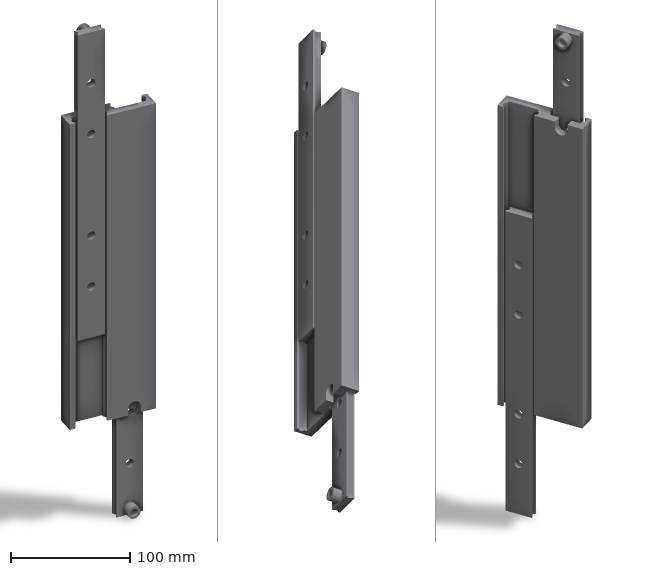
import cadquery as cq

thickness = 17.0
width = 80.0
length = 299.5
total_height = 489.0

bar_width = 25.0
bar_thickness = 8.0
lower_extension = 103.5
upper_extension = total_height - length - lower_extension

channel_width = 29.5
channel_depth = 10.0
channel_offset = width / 4

race_radius = 3.0
race_inset = 4.5
race_spacing = (bar_width + channel_width) / 2

hole_diameter = 8.0
hole_pitch = 50.0
hole_steps = (-2, -1, 1, 2)

pin_diameter = 11.5
pin_end_offset = 6.5
pin_bore_diameter = 7.5
pin_clearance = 0.5


def ball_races(side):
    """Two round rods running along a channel on the given X side (-1 or 1)."""
    race_x = side * (thickness / 2 - race_inset)
    return (
        cq.Workplane("XY")
        .pushPoints([
            (race_x, -side * channel_offset - race_spacing / 2),
            (race_x, -side * channel_offset + race_spacing / 2),
        ])
        .circle(race_radius)
        .extrude(length / 2, both=True)
    )


def channel_cutter(side):
    """Open channel, its ball races, and the pin notch at the end where the bar comes out."""
    center_y = -side * channel_offset
    channel = cq.Workplane("XY").box(channel_depth, channel_width, length).translate(
        (side * (thickness - channel_depth) / 2, center_y, 0)
    )
    end_z = side * length / 2
    notch_center_z = end_z - side * pin_end_offset
    notch_x = -side * thickness / 2
    notch_round = (
        cq.Workplane("YZ", origin=(notch_x, center_y, notch_center_z))
        .circle(pin_diameter / 2)
        .extrude(side * thickness / 2)
    )
    notch_mouth = cq.Workplane("XY").box(thickness / 2, pin_diameter, pin_end_offset).translate(
        (-side * thickness / 4, center_y, end_z - side * pin_end_offset / 2)
    )
    return channel.union(ball_races(side)).union(notch_round).union(notch_mouth)


def make_housing():
    """Block with one channel on each broad face."""
    housing = cq.Workplane("XY").box(thickness, width, length)
    for side in (-1, 1):
        housing = housing.cut(channel_cutter(side))
    return housing


def stop_pin(side):
    """Bored pin reaching from the inner bar face to just short of the opposite housing face."""
    inner_face_x = side * (thickness / 2 - bar_thickness)
    pin_length = thickness - bar_thickness - pin_clearance
    pin_z = side * (length / 2 - pin_end_offset)
    return (
        cq.Workplane("YZ", origin=(inner_face_x, -side * channel_offset, pin_z))
        .circle(pin_diameter / 2)
        .extrude(-side * pin_length)
        .cut(
            cq.Workplane("YZ", origin=(inner_face_x, -side * channel_offset, pin_z))
            .circle(pin_bore_diameter / 2)
            .extrude(-side * pin_length)
        )
    )


def make_slide_bar(side, extension):
    """Grooved bar on the given X side, pulled out along Z towards the same sign."""
    bar_x = side * (thickness - bar_thickness) / 2
    center_y = -side * channel_offset
    bar = cq.Workplane("XY").box(bar_thickness, bar_width, length).translate((bar_x, center_y, 0))
    holes = (
        cq.Workplane("YZ", origin=(bar_x, center_y, 0))
        .pushPoints([(0, step * hole_pitch) for step in hole_steps])
        .circle(hole_diameter / 2)
        .extrude(bar_thickness, both=True)
    )
    bar = bar.cut(ball_races(side)).cut(holes).union(stop_pin(side))
    return bar.translate((0, 0, side * extension))


housing = make_housing()
slide_bars = [
    make_slide_bar(side, extension)
    for side, extension in ((-1, lower_extension), (1, upper_extension))
]

result = cq.Compound.makeCompound([housing.val(), *[bar.val() for bar in slide_bars]])